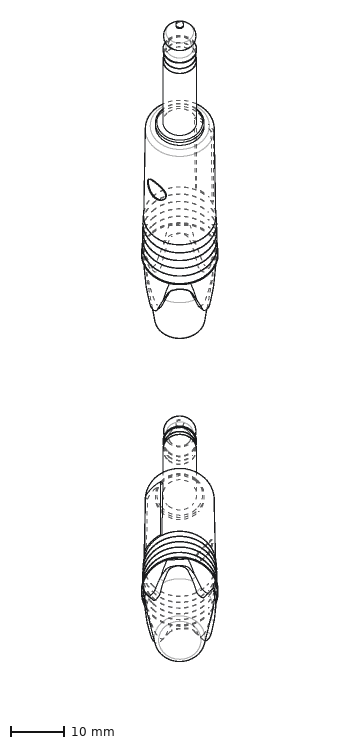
import cadquery as cq
import math


total_height = 92.3
chuck_top = 20.7
grip_top = 32.5
shell_top = 60.6
flange_top = 61.8

core_end_radius = 4.7
core_end_round = 0.8
core_knee_height = 13.6
core_knee_radius = 6.2
core_top_radius = 6.7
petal_radius = 7.1
petal_count = 4
petal_tip_height = 9.9
petal_tip_radius = 0.95
petal_waist_height = 14.0
petal_waist_half_width = 2.05
arch_spring_height = 16.8
arch_spring_half_width = 2.95
arch_crown_height = 18.35
arch_spring_run = 0.3
flat_top_height = 20.5
flat_top_distance = 6.82
flat_slope = 0.078

ring_count = 5
ring_top_radius = 6.85
ring_bottom_radius = 7.05
ring_step = 0.08
lip_radius = 14.49 / 2
lip_height = 0.2

shell_bottom_radius = 6.8
shell_top_radius = 6.5
shell_round = 0.95

flange_radius = 4.6
flange_chamfer = 0.3

sleeve_radius = 3.175
sleeve_top = 81.1
insulator_radius = 3.1
insulator_top = 82.5
ring_contact_radius = 3.0
ring_contact_top = 84.35
collar_edge_top = 84.6
collar_cone_top = 85.2
collar_cone_radius = 2.6
neck_radius = 2.1
ball_end_radius = 2.6
ball_radius = 3.08
ball_bottom = 87.5
ball_top = 89.9
tip_radius = 0.75
tip_edge_height = 0.35

label_half_width = 2.2
label_top = 55.0
label_radius = 7.1
badge_radius = 2.4
badge_height = 46.7
badge_depth = 0.2


def cylinder(radius, bottom, top):
    return cq.Workplane("XY").workplane(offset=bottom).circle(radius).extrude(top - bottom)


def revolve_profile(profile):
    """Turn a profile drawn in the XZ plane (radius, height) about the Z axis."""
    return profile.close().revolve(360, (0, 0, 0), (0, 1, 0))


def shell_radius_at(height):
    share = (height - grip_top) / (shell_top - grip_top)
    return shell_bottom_radius + share * (shell_top_radius - shell_bottom_radius)


def make_core():
    core = revolve_profile(
        cq.Workplane("XZ")
        .lineTo(core_end_radius, 0)
        .lineTo(core_knee_radius, core_knee_height)
        .lineTo(core_top_radius, chuck_top)
        .lineTo(0, chuck_top)
    )
    return core.faces("<Z").edges().fillet(core_end_round)


def make_petal_prism():
    """Prism on the -Y side: rounded tip, straight flanks and half an arch at each side."""
    lean = math.atan2(
        petal_waist_half_width - petal_tip_radius,
        petal_waist_height - petal_tip_height - petal_tip_radius,
    )
    flank_x = petal_tip_radius * math.cos(lean)
    flank_z = petal_tip_height + petal_tip_radius * (1 - math.sin(lean))
    crown_x = petal_radius * math.sin(math.pi / petal_count)
    return (
        cq.Workplane("XZ")
        .moveTo(-flank_x, flank_z)
        .threePointArc((0, petal_tip_height), (flank_x, flank_z))
        .lineTo(petal_waist_half_width, petal_waist_height)
        .lineTo(arch_spring_half_width, arch_spring_height)
        .spline(
            [(crown_x, arch_crown_height)],
            tangents=[(arch_spring_run, 1), (1, 0)],
            includeCurrent=True,
        )
        .lineTo(crown_x, chuck_top)
        .lineTo(-crown_x, chuck_top)
        .lineTo(-crown_x, arch_crown_height)
        .spline(
            [(-arch_spring_half_width, arch_spring_height)],
            tangents=[(1, 0), (arch_spring_run, -1)],
            includeCurrent=True,
        )
        .lineTo(-petal_waist_half_width, petal_waist_height)
        .close()
        .extrude(2 * petal_radius)
    )


def make_flat_cutter():
    """Block outside a slightly leaning plane; removes the flat between two petals."""
    bottom_distance = flat_top_distance - flat_slope * flat_top_height
    outside = 2 * petal_radius
    return (
        cq.Workplane("XZ")
        .moveTo(bottom_distance, 0)
        .lineTo(flat_top_distance, flat_top_height)
        .lineTo(outside, flat_top_height)
        .lineTo(outside, 0)
        .close()
        .extrude(petal_radius, both=True)
    )


def make_chuck():
    blank = cylinder(petal_radius, petal_tip_height, chuck_top)
    prism = make_petal_prism()
    cutter = make_flat_cutter()
    pitch = 360 / petal_count
    chuck = make_core()
    for index in range(petal_count):
        blank = blank.cut(cutter.rotate((0, 0, 0), (0, 0, 1), (index + 0.5) * pitch))
    for index in range(petal_count):
        petal = blank.intersect(prism.rotate((0, 0, 0), (0, 0, 1), index * pitch))
        chuck = chuck.union(petal)
    return chuck


def make_grip():
    """Stack of slightly conical rings, each stepping in under the one above."""
    pitch = (grip_top - chuck_top) / ring_count
    growth = (ring_bottom_radius - ring_top_radius) / ring_count
    profile = cq.Workplane("XZ").moveTo(0, grip_top)
    for index in range(ring_count):
        upper = ring_top_radius + index * growth
        top = grip_top - index * pitch
        profile = profile.lineTo(upper, top).lineTo(upper + growth + ring_step, top - pitch)
    profile = profile.lineTo(0, chuck_top)
    lip = cylinder(lip_radius, chuck_top - lip_height / 2, chuck_top + lip_height / 2)
    return revolve_profile(profile).union(lip)


def make_shell():
    shell = revolve_profile(
        cq.Workplane("XZ")
        .moveTo(0, grip_top)
        .lineTo(shell_bottom_radius, grip_top)
        .lineTo(shell_top_radius, shell_top)
        .lineTo(0, shell_top)
    )
    return shell.faces(">Z").edges().fillet(shell_round)


def make_label():
    strip_height = label_top - grip_top
    strip = (
        cq.Workplane("XY")
        .workplane(offset=grip_top)
        .center(0, label_radius / 2)
        .rect(2 * label_half_width, label_radius)
        .extrude(strip_height)
    )
    return strip.intersect(cylinder(label_radius, grip_top, label_top))


def make_badge_recess():
    floor_radius = shell_radius_at(badge_height) - badge_depth
    post = (
        cq.Workplane("XZ")
        .center(0, badge_height)
        .circle(badge_radius)
        .extrude(2 * shell_bottom_radius)
    )
    return post.cut(cylinder(floor_radius, grip_top, shell_top))


def make_flange():
    return cylinder(flange_radius, shell_top, flange_top).faces(">Z").edges().chamfer(flange_chamfer)


def make_plug():
    neck_middle = (collar_cone_top + ball_bottom) / 2
    ball_middle = (ball_bottom + ball_top) / 2
    return revolve_profile(
        cq.Workplane("XZ")
        .moveTo(0, flange_top)
        .lineTo(sleeve_radius, flange_top)
        .lineTo(sleeve_radius, sleeve_top)
        .lineTo(insulator_radius, sleeve_top)
        .lineTo(insulator_radius, insulator_top)
        .lineTo(ring_contact_radius, insulator_top)
        .lineTo(ring_contact_radius, ring_contact_top)
        .lineTo(sleeve_radius, ring_contact_top)
        .lineTo(sleeve_radius, collar_edge_top)
        .lineTo(collar_cone_radius, collar_cone_top)
        .threePointArc((neck_radius, neck_middle), (ball_end_radius, ball_bottom))
        .threePointArc((ball_radius, ball_middle), (ball_end_radius, ball_top))
        .lineTo(tip_radius, total_height - tip_edge_height)
        .lineTo(tip_radius, total_height)
        .lineTo(0, total_height)
    )


body = make_shell().union(make_label()).cut(make_badge_recess())
result = make_chuck().union(make_grip()).union(body).union(make_flange()).union(make_plug())